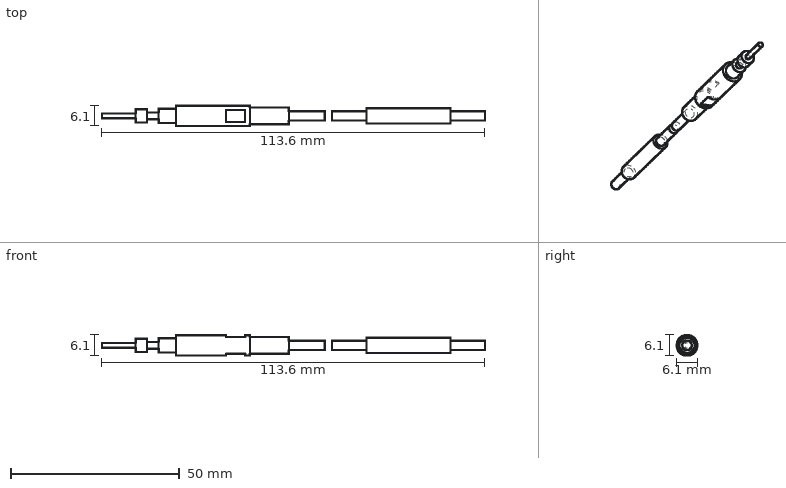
import cadquery as cq

tip_diameter = 1.5
collar_diameter = 4.0
neck_diameter = 2.0
nose_diameter = 4.3
barrel_diameter = 6.1
sleeve_diameter = 5.0
cable_diameter = 2.8
grip_diameter = 4.5

tip_length = 10.0
collar_length = 3.4
neck_length = 3.4
nose_length = 5.1
barrel_length = 21.9
sleeve_length = 11.6
probe_cable_length = 10.7

flat_length = 5.7
flat_end_margin = 1.4
across_flats = 5.0

overall_length = 113.6
cable_gap = 2.0
bare_cable_length = 10.2

barrel_start = tip_length + collar_length + neck_length + nose_length
barrel_end = barrel_start + barrel_length
probe_end = barrel_end + sleeve_length + probe_cable_length
cable_end_start = probe_end + cable_gap
grip_length = overall_length - cable_end_start - 2 * bare_cable_length


def stepped_rod(start, steps):
    """Join coaxial cylinders end to end along X; each step is (diameter, length)."""
    rod = cq.Workplane("YZ")
    position = start
    for diameter, length in steps:
        cylinder = cq.Workplane("YZ", origin=(position, 0, 0)).circle(diameter / 2).extrude(length)
        rod = rod.add(cylinder)
        position += length
    return rod.combine()


def cut_wrench_flats(body):
    """Cut a pair of opposite flats across Z near the rear end of the barrel."""
    flat_centre = barrel_end - flat_end_margin - flat_length / 2
    cutter_height = barrel_diameter - across_flats
    for side in (1, -1):
        cutter = cq.Workplane("XY").box(flat_length, barrel_diameter, cutter_height)
        cutter_z = side * (across_flats + cutter_height) / 2
        body = body.cut(cutter.translate((flat_centre, 0, cutter_z)))
    return body


def make_probe():
    """Tip, collar, neck and barrel, with the first stretch of cable."""
    steps = [
        (tip_diameter, tip_length),
        (collar_diameter, collar_length),
        (neck_diameter, neck_length),
        (nose_diameter, nose_length),
        (barrel_diameter, barrel_length),
        (sleeve_diameter, sleeve_length),
        (cable_diameter, probe_cable_length),
    ]
    return cut_wrench_flats(stepped_rod(0, steps))


def make_cable_end():
    """Far stretch of cable carrying the grip."""
    steps = [
        (cable_diameter, bare_cable_length),
        (grip_diameter, grip_length),
        (cable_diameter, bare_cable_length),
    ]
    return stepped_rod(cable_end_start, steps)


probe = make_probe()
cable_end = make_cable_end()

result = cq.Compound.makeCompound([probe.val(), cable_end.val()])